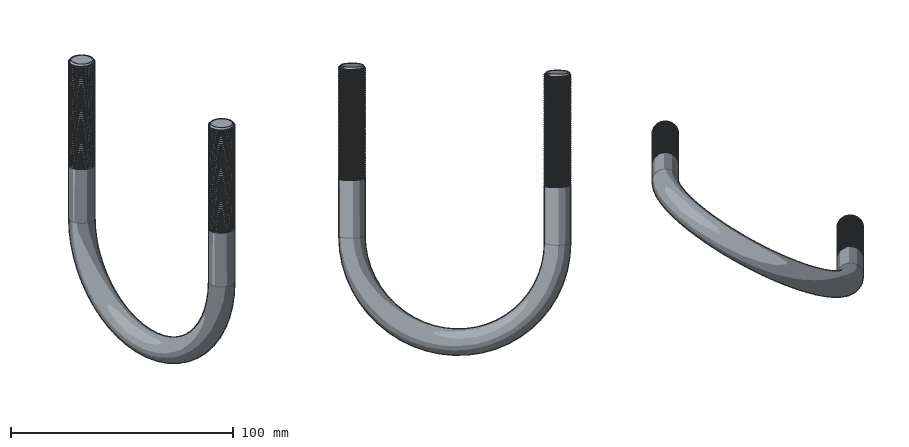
import cadquery as cq
import math

rod_diameter = 12.0
leg_spacing = 94.0
leg_length = 78.0
tip_chamfer = 1.0

thread_pitch = 1.0
thread_length = 52.0
thread_start_angle = 180.0

rod_radius = rod_diameter / 2
bend_radius = leg_spacing / 2
first_turn_z = leg_length - thread_length + thread_pitch / 2

crest_flat = thread_pitch / 8
root_flat = thread_pitch / 4
mouth_width = thread_pitch - crest_flat
groove_depth = (mouth_width - root_flat) / 2 / math.tan(math.radians(30))
root_radius = rod_radius - groove_depth

turn_count = math.ceil(thread_length / thread_pitch) + 1
blank_length = first_turn_z + (turn_count + 2) * thread_pitch


def helix_turn(radius, z):
    """One turn of a helix that starts on the +X side at height z."""
    wire = cq.Wire.makeHelix(thread_pitch, thread_pitch, radius)
    return wire.Edges()[0].translate(cq.Vector(0, 0, z))


def groove_corners(z):
    """Corners (radius, height) of the groove section centred at height z, from lower to upper mouth."""
    return [
        (rod_radius, z - mouth_width / 2),
        (root_radius, z - root_flat / 2),
        (root_radius, z + root_flat / 2),
        (rod_radius, z + mouth_width / 2),
    ]


def groove_end_cap(z):
    """Flat face that closes an end of the groove."""
    points = [cq.Vector(radius, 0, height) for radius, height in groove_corners(z)]
    return cq.Face.makeFromWires(cq.Wire.makePolygon(points, close=True))


def thread_turn_faces(z):
    """Lower flank, root and upper flank of one groove turn."""
    edges = [helix_turn(radius, height) for radius, height in groove_corners(z)]
    return [cq.Face.makeRuledSurface(low, high) for low, high in zip(edges, edges[1:])]


def crest_face(z):
    """Crest between the groove turn that starts at height z and the turn above it."""
    low = helix_turn(rod_radius, z + mouth_width / 2)
    high = helix_turn(rod_radius, z + thread_pitch - mouth_width / 2)
    return cq.Face.makeRuledSurface(low, high)


def helicoid_strip(z):
    """One turn of a helical strip that crosses the rod surface, starting at height z."""
    return cq.Face.makeRuledSurface(helix_turn(root_radius, z), helix_turn(rod_radius + groove_depth, z))


def plain_rod_faces(thread_bottom, thread_top):
    """End discs and smooth surface of the rod, without the threaded stretch between two helices."""
    rod = cq.Workplane("XY").circle(rod_radius).extrude(blank_length)
    surface = rod.faces("%CYLINDER").val()
    pieces = cq.Workplane(obj=surface.split(helicoid_strip(thread_bottom), helicoid_strip(thread_top)))
    return rod.faces("|Z").vals() + pieces.faces("<Z or >Z").vals()


def make_threaded_blank():
    """Rod from the bend to above the tip, with the helical groove built into its surface."""
    turn_heights = [first_turn_z + turn * thread_pitch for turn in range(turn_count)]
    last_z = turn_heights[-1]
    faces = []
    for z in turn_heights:
        faces += thread_turn_faces(z)
    for z in turn_heights[:-1]:
        faces.append(crest_face(z))
    faces.append(groove_end_cap(first_turn_z))
    faces.append(groove_end_cap(last_z + thread_pitch))

    faces += plain_rod_faces(first_turn_z - mouth_width / 2, last_z + mouth_width / 2)

    blank = cq.Solid.makeSolid(cq.Shell.makeShell(faces))
    return cq.Workplane(obj=blank).rotate((0, 0, 0), (0, 0, 1), thread_start_angle)


def make_tip_trimmer():
    """Everything above the chamfered leg tip, as a revolved cap with a conical recess."""
    reach = 2 * tip_chamfer
    return (
        cq.Workplane("XZ")
        .moveTo(0, leg_length)
        .lineTo(rod_radius - tip_chamfer, leg_length)
        .lineTo(rod_radius - tip_chamfer + reach, leg_length - reach)
        .lineTo(rod_radius - tip_chamfer + reach, blank_length + reach)
        .lineTo(0, blank_length + reach)
        .close()
        .revolve(360, (0, 0, 0), (0, 1, 0))
    )


def make_bend():
    """Half ring joining the lower ends of the two legs."""
    path = cq.Workplane("XZ").moveTo(-bend_radius, 0).threePointArc((0, -bend_radius), (bend_radius, 0))
    return cq.Workplane("XY").center(-bend_radius, 0).circle(rod_radius).sweep(path)


leg = make_threaded_blank().cut(make_tip_trimmer())
u_bolt = make_bend()
for side in (-1, 1):
    u_bolt = u_bolt.union(leg.translate((side * bend_radius, 0, 0)))
result = u_bolt.solids()